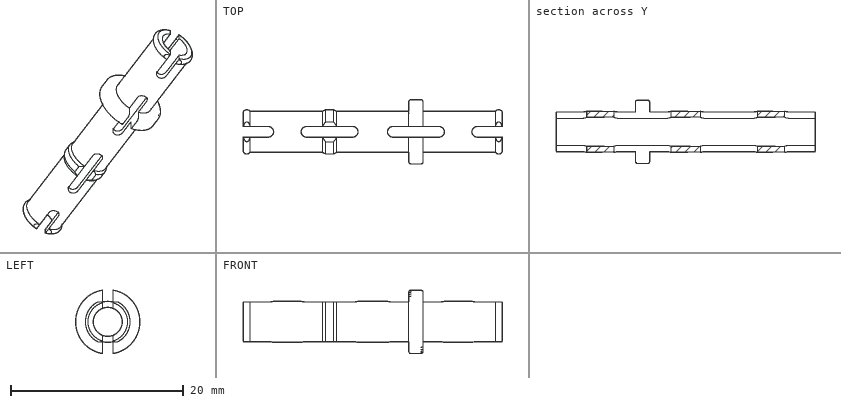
import cadquery as cq
import math

length = 30.1
bore_diameter = 3.35
tube_diameter = 4.8
barb_diameter = 5.18

lip_arc_radius = 0.45
lip_crown_offset = 0.42

flange_diameter = 7.5
flange_width = 1.7
flange_edge_round = 0.27
flange_center = length / 6

ring_width = 1.65
ring_crown_width = 0.9
ring_center = -flange_center

slot_width = 1.2
slot_length = 6.6
end_slot_depth = 3.52

half_length = length / 2
tube_radius = tube_diameter / 2
barb_radius = barb_diameter / 2
flat_height = math.sqrt(tube_radius**2 - (slot_width / 2) ** 2)


def disc(diameter, width, center):
    """Solid cylinder on the X axis, centred at the given X position."""
    return cq.Workplane("YZ", origin=(center - width / 2, 0, 0)).circle(diameter / 2).extrude(width)


def end_lip():
    """Snap lip at the -X end, with a single arc as its outer profile."""
    arc_center_radius = barb_radius - lip_arc_radius
    front_radius = arc_center_radius + math.sqrt(lip_arc_radius**2 - lip_crown_offset**2)
    back_reach = math.sqrt(lip_arc_radius**2 - (tube_radius - arc_center_radius) ** 2)
    crown_x = -half_length + lip_crown_offset
    back_x = crown_x + back_reach
    return (
        cq.Workplane("XY")
        .moveTo(-half_length, 0)
        .lineTo(-half_length, front_radius)
        .threePointArc((crown_x, barb_radius), (back_x, tube_radius))
        .lineTo(back_x, 0)
        .close()
        .revolve(360, (0, 0, 0), (1, 0, 0))
    )


def middle_ring():
    """Raised ring whose shoulders slope down to the tube."""
    half_width = ring_width / 2
    half_crown = ring_crown_width / 2
    profile = [
        (ring_center - half_width, 0),
        (ring_center - half_width, tube_radius),
        (ring_center - half_crown, barb_radius),
        (ring_center + half_crown, barb_radius),
        (ring_center + half_width, tube_radius),
        (ring_center + half_width, 0),
    ]
    return cq.Workplane("XY").polyline(profile).close().revolve(360, (0, 0, 0), (1, 0, 0))


def slot(center, overall_length):
    """Round-ended cutter passing through both walls along Z."""
    outline = cq.Workplane("XY").center(center, 0).slot2D(overall_length, slot_width)
    return outline.extrude(flange_diameter, both=True)


lip = end_lip()
barbs = lip.union(lip.mirror("YZ")).union(middle_ring())
barbs = barbs.intersect(cq.Workplane("XY").box(length, barb_diameter, 2 * flat_height))

tube = disc(tube_diameter, length - 2 * lip_crown_offset, 0)
flange = disc(flange_diameter, flange_width, flange_center).edges().fillet(flange_edge_round)

result = tube.union(barbs).union(flange)
result = result.cut(disc(bore_diameter, length, 0))

for center in (ring_center, flange_center):
    result = result.cut(slot(center, slot_length))

for end in (-half_length, half_length):
    result = result.cut(slot(end, 2 * end_slot_depth))